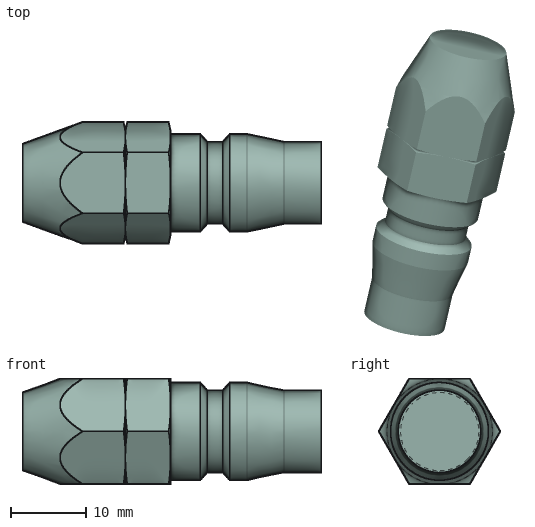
import cadquery as cq
import math

LENGTH = 39.7
ACROSS_FLATS = 14.0
FLAT_RADIUS = ACROSS_FLATS / 2
CORNER_RADIUS = FLAT_RADIUS / math.cos(math.radians(30))

NOSE_RADIUS = 5.2
NOSE_ANGLE = 20.0
NUT_JOINT_X = 13.65
NUT_END_X = 19.65
CORNER_CHAMFER = 0.25

SLEEVE_RADIUS = 6.5
NECK_RADIUS = 5.48
SLEEVE_END_X = 23.6
GROOVE_START_X = 24.55
GROOVE_END_X = 26.6
COLLAR_START_X = 27.55
COLLAR_END_X = 29.8
TAPER_END_X = 34.7


def revolve_about_x(profile):
    """Turn a closed (x, radius) profile into a solid about the X axis."""
    return profile.close().revolve(360, (0, 0, 0), (1, 0, 0))


def hexagonal_bar():
    """Hexagonal prism with flats facing up and down and corners facing +Y and -Y."""
    return cq.Workplane("YZ").polygon(6, 2 * CORNER_RADIUS).extrude(NUT_END_X)


def nut_envelope():
    """Cone at the nose, a shallow V at the nut joint and a chamfer at the back."""
    nose_length = (CORNER_RADIUS - NOSE_RADIUS) / math.tan(math.radians(NOSE_ANGLE))
    return revolve_about_x(
        cq.Workplane("XY")
        .lineTo(0, NOSE_RADIUS)
        .lineTo(nose_length, CORNER_RADIUS)
        .lineTo(NUT_JOINT_X - CORNER_CHAMFER, CORNER_RADIUS)
        .lineTo(NUT_JOINT_X, FLAT_RADIUS)
        .lineTo(NUT_JOINT_X + CORNER_CHAMFER, CORNER_RADIUS)
        .lineTo(NUT_END_X - CORNER_CHAMFER, CORNER_RADIUS)
        .lineTo(NUT_END_X, FLAT_RADIUS)
        .lineTo(NUT_END_X, 0)
    )


def plug():
    """Round sleeve, chamfered groove, collar, and taper down to the tip."""
    return revolve_about_x(
        cq.Workplane("XY")
        .moveTo(NUT_JOINT_X, 0)
        .lineTo(NUT_JOINT_X, SLEEVE_RADIUS)
        .lineTo(SLEEVE_END_X, SLEEVE_RADIUS)
        .lineTo(GROOVE_START_X, NECK_RADIUS)
        .lineTo(GROOVE_END_X, NECK_RADIUS)
        .lineTo(COLLAR_START_X, SLEEVE_RADIUS)
        .lineTo(COLLAR_END_X, SLEEVE_RADIUS)
        .lineTo(TAPER_END_X, NECK_RADIUS)
        .lineTo(LENGTH, NECK_RADIUS)
        .lineTo(LENGTH, 0)
    )


nuts = hexagonal_bar().intersect(nut_envelope())
result = nuts.union(plug())